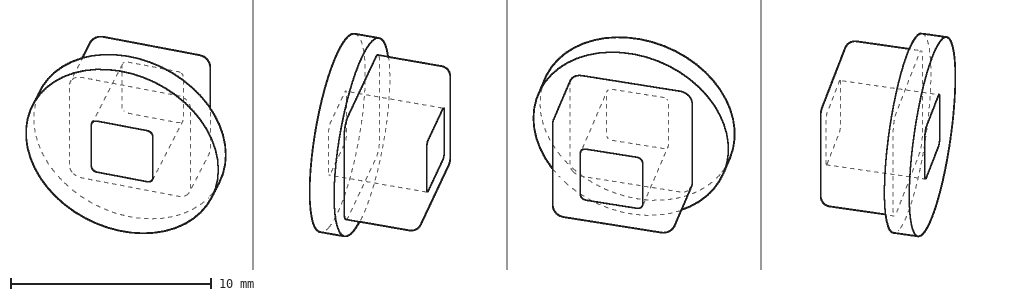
import cadquery as cq

flange_diameter = 10.03
flange_thickness = 1.27
total_length = 5.08
boss_width = 6.3
boss_corner_radius = 0.635
boss_end_radius = 0.508
hole_width = 3.2
hole_corner_radius = 0.3

boss_length = total_length - flange_thickness


def plane_at(y):
    """Sketch plane whose normal points along +Y, at the given Y."""
    return cq.Workplane("XZ", origin=(0, y, 0)).transformed(rotate=(180, 0, 0))


def rounded_square_bar(start_y, width, length, corner_radius):
    """Square bar running along +Y with its four long edges rounded."""
    bar = plane_at(start_y).rect(width, width).extrude(length)
    return bar.edges("|Y").fillet(corner_radius)


flange = plane_at(0).circle(flange_diameter / 2).extrude(flange_thickness)

boss = rounded_square_bar(flange_thickness, boss_width, boss_length, boss_corner_radius)
boss = boss.faces(">Y").edges().fillet(boss_end_radius)

hole = rounded_square_bar(0, hole_width, total_length, hole_corner_radius)

result = flange.union(boss).cut(hole)